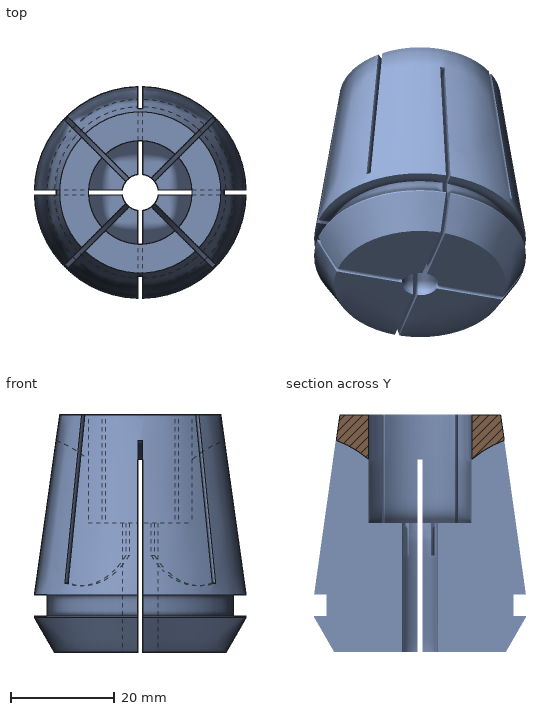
import cadquery as cq
import math

total_height = 46.0
body_diameter = 41.0
back_diameter = 31.2
nose_diameter = 33.2
lip_height = 0.25
groove_bottom_z = 7.0
groove_top_z = 11.15
groove_diameter = 36.1

grip_bore_diameter = 7.0
back_bore_diameter = 20.0
back_bore_floor_z = 25.0

slot_width = 0.9
nose_saw_radius = 20.7
nose_saw_centre = (23.45, 21.57)
back_saw_radius = 16.55
back_saw_centre = (16.1, 29.45)
slots_per_set = 4
slot_pitch = 360.0 / slots_per_set

past_end = 2.3
slot_start = grip_bore_diameter / 2 - slot_width / 2
slot_reach = body_diameter / 2 + past_end


def collet_body():
    body_r = body_diameter / 2
    outline = [
        (0, 0),
        (nose_diameter / 2, 0),
        (body_r, groove_bottom_z - lip_height),
        (body_r, groove_bottom_z),
        (groove_diameter / 2, groove_bottom_z),
        (groove_diameter / 2, groove_top_z),
        (body_r, groove_top_z),
        (back_diameter / 2, total_height),
        (0, total_height),
    ]
    return cq.Workplane("XZ").polyline(outline).close().revolve(360, (0, 0, 0), (0, 1, 0))


def bore(diameter, start_z):
    depth = total_height - start_z
    return cq.Workplane("XY").workplane(offset=start_z).circle(diameter / 2).extrude(depth)


def slot_cutter(saw_radius, saw_centre, open_z):
    """Radial slot along +X, running from open_z to an end curved like the saw's far rim."""
    centre_r, centre_z = saw_centre
    far_side = math.copysign(1, centre_z - open_z)

    def rim_point(r):
        return (r, centre_z + far_side * math.sqrt(saw_radius**2 - (r - centre_r) ** 2))

    return (
        cq.Workplane("XZ")
        .moveTo(slot_start, open_z)
        .lineTo(*rim_point(slot_start))
        .threePointArc(rim_point((slot_start + slot_reach) / 2), rim_point(slot_reach))
        .lineTo(slot_reach, open_z)
        .close()
        .extrude(slot_width / 2, both=True)
    )


nose_slot = slot_cutter(nose_saw_radius, nose_saw_centre, -past_end)
back_slot = slot_cutter(back_saw_radius, back_saw_centre, total_height + past_end)

result = collet_body()
result = result.cut(bore(grip_bore_diameter, 0))
result = result.cut(bore(back_bore_diameter, back_bore_floor_z))
for index in range(slots_per_set):
    angle = index * slot_pitch
    result = result.cut(nose_slot.rotate((0, 0, 0), (0, 0, 1), angle))
    result = result.cut(back_slot.rotate((0, 0, 0), (0, 0, 1), angle + slot_pitch / 2))